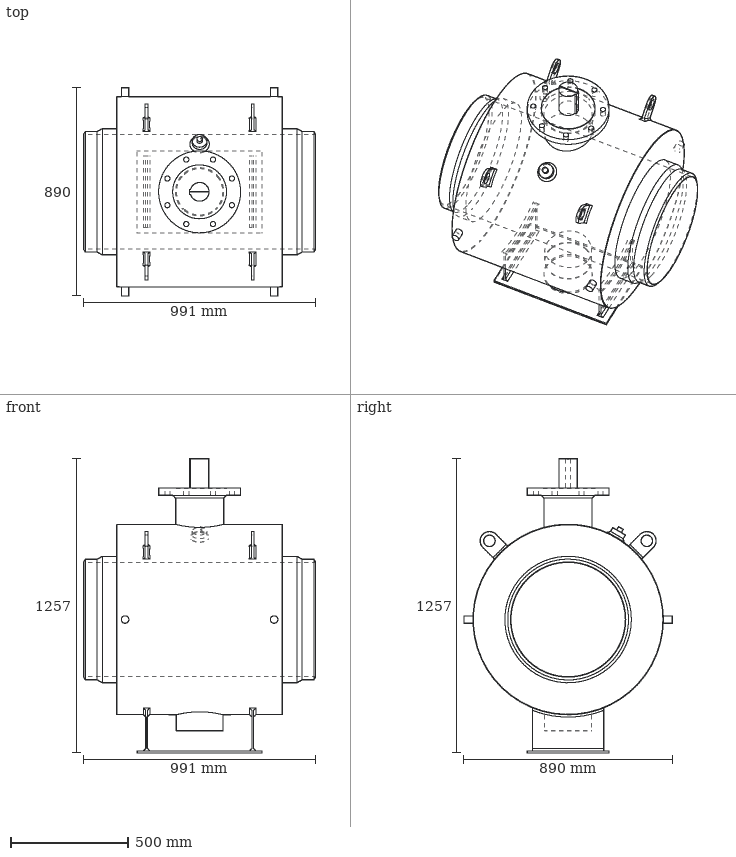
import cadquery as cq
import math

length = 991.0
bore_diameter = 488.0
pipe_diameter = 516.0
sleeve_diameter = 540.0
body_diameter = 813.0
body_length = 708.0
body_chamfer = 2.0
pipe_end_length = 58.0
sleeve_taper_length = 22.0
end_bevel_length = 8.0
end_bevel_depth = 12.0

top_height = 687.0
neck_diameter = 206.0
flange_diameter = 350.0
flange_thickness = 32.0
flange_top = 562.0
flange_weld = 12.0
recess_diameter = 230.0
recess_depth = 3.0
bolt_count = 8
bolt_circle = 298.0
bolt_hole_diameter = 22.0
stem_diameter = 80.0
stem_key_width = 22.0
stem_key_reach = 44.0
stem_mark_width = 2.0
stem_mark_depth = 2.0

trunnion_diameter = 200.0
trunnion_lip_diameter = 198.0
trunnion_lip_height = 3.0
trunnion_depth = 476.0

pin_diameter = 32.0
pin_spacing = 636.0
pin_span = 890.0

plate_spacing = 453.0
support_thickness = 8.0
support_width = 306.0
support_weld = 10.0
foot_length = 534.0
foot_width = 350.0
foot_thickness = 10.0
foot_bottom = -570.0
foot_hole_diameter = 206.0

lug_angle = 45.0
lug_thickness = 12.0
lug_width = 80.0
lug_hole_diameter = 48.0
lug_hole_radius = 475.0
lug_weld = 9.0

vent_angle = 30.0
vent_diameter = 63.0
vent_top = 435.0
vent_tip_diameter = 24.0
vent_tip_top = 451.0
vent_weld = 10.0

root_overlap = 4.0

body_radius = body_diameter / 2
half_length = length / 2
half_body = body_length / 2


def cylinder(diameter, bottom, top):
    """Cylinder on the Z axis between two heights."""
    return cq.Workplane("XY").workplane(offset=bottom).circle(diameter / 2).extrude(top - bottom)


def cone(bottom_diameter, top_diameter, bottom, top):
    """Cone frustum on the Z axis between two heights."""
    profile = [(0, bottom), (bottom_diameter / 2, bottom), (top_diameter / 2, top), (0, top)]
    return cq.Workplane("XZ").polyline(profile).close().revolve(360, (0, 0, 0), (0, 1, 0))


def make_shell():
    """Body, sleeves and bevelled pipe ends as one revolved solid, still without the bore."""
    pipe_radius = pipe_diameter / 2
    sleeve_radius = sleeve_diameter / 2
    taper_start = half_length - pipe_end_length
    right_half = [
        (half_body - body_chamfer, body_radius),
        (half_body, body_radius - body_chamfer),
        (half_body, sleeve_radius),
        (taper_start - sleeve_taper_length, sleeve_radius),
        (taper_start, pipe_radius),
        (half_length - end_bevel_length, pipe_radius),
        (half_length, pipe_radius - end_bevel_depth),
        (half_length, 0),
    ]
    left_half = [(-x, r) for x, r in reversed(right_half)]
    outline = cq.Workplane("XY").polyline(left_half + right_half).close()
    return outline.revolve(360, (0, 0, 0), (1, 0, 0))


def make_stem_column():
    """Neck, actuator flange and keyed stem."""
    flange_bottom = flange_top - flange_thickness
    neck = cylinder(neck_diameter, 0, flange_bottom)
    weld_top_diameter = neck_diameter + 2 * flange_weld
    weld = cone(neck_diameter, weld_top_diameter, flange_bottom - flange_weld, flange_bottom)
    flange = cylinder(flange_diameter, flange_bottom, flange_top)
    recess = cylinder(recess_diameter, flange_top - recess_depth, flange_top)
    bolt_holes = (
        cq.Workplane("XY")
        .workplane(offset=flange_bottom)
        .polarArray(bolt_circle / 2, 180 / bolt_count, 360, bolt_count)
        .circle(bolt_hole_diameter / 2)
        .extrude(flange_thickness)
    )
    stem_base = flange_top - flange_thickness / 2
    stem = cylinder(stem_diameter, stem_base, top_height)
    key = (
        cq.Workplane("XY")
        .box(stem_key_reach, stem_key_width, top_height - stem_base, centered=(True, True, False))
        .translate((-stem_key_reach / 2, 0, stem_base))
    )
    mark = (
        cq.Workplane("XY")
        .workplane(offset=top_height - stem_mark_depth)
        .rect(2 * stem_key_reach, stem_mark_width)
        .extrude(stem_mark_depth)
    )
    drilled = neck.union(weld).union(flange.cut(recess)).cut(bolt_holes)
    return drilled.union(stem.union(key).cut(mark))


def make_trunnion():
    """Lower stub with a slightly smaller lip at its end."""
    lip_start = -trunnion_depth + trunnion_lip_height
    stub = cylinder(trunnion_diameter, lip_start, 0)
    return stub.union(cylinder(trunnion_lip_diameter, -trunnion_depth, lip_start))


def make_pins():
    """Side pins, each running from one side of the shell to the other before boring."""
    return (
        cq.Workplane("XZ")
        .workplane(offset=-pin_span / 2)
        .pushPoints([(-pin_spacing / 2, 0), (pin_spacing / 2, 0)])
        .circle(pin_diameter / 2)
        .extrude(pin_span)
    )


def make_support(x):
    """Upright plate with weld fillets at the shell and at the foot plate."""
    foot_top = foot_bottom + foot_thickness
    half_thickness = support_thickness / 2
    weld_reach = half_thickness + support_weld
    plate = (
        cq.Workplane("XY")
        .box(support_thickness, support_width, -foot_top, centered=(True, True, False))
        .translate((x, 0, foot_top))
    )
    foot_weld = (
        cq.Workplane("XZ")
        .polyline([
            (x - weld_reach, foot_top),
            (x + weld_reach, foot_top),
            (x + half_thickness, foot_top + support_weld),
            (x - half_thickness, foot_top + support_weld),
        ])
        .close()
        .extrude(support_width / 2, both=True)
    )
    shell_weld = (
        cq.Workplane("XY")
        .polyline([
            (x - weld_reach, 0),
            (x - weld_reach, body_radius),
            (x - half_thickness, body_radius + support_weld),
            (x + half_thickness, body_radius + support_weld),
            (x + weld_reach, body_radius),
            (x + weld_reach, 0),
        ])
        .close()
        .revolve(360, (0, 0, 0), (1, 0, 0))
    )
    weld_zone = (
        cq.Workplane("XY")
        .box(2 * weld_reach, support_width, -foot_top, centered=(True, True, False))
        .translate((x, 0, foot_top))
    )
    return plate.union(foot_weld).union(shell_weld.intersect(weld_zone))


def make_foot():
    """Foot plate with a clearance hole under the trunnion."""
    return (
        cq.Workplane("XY")
        .workplane(offset=foot_bottom)
        .rect(foot_length, foot_width)
        .circle(foot_hole_diameter / 2)
        .extrude(foot_thickness)
    )


def make_lug(x, angle):
    """Lifting eye with side welds, tilted about the pipe axis away from vertical."""
    half_width = lug_width / 2
    half_thickness = lug_thickness / 2
    weld_base = math.sqrt(body_radius**2 - half_width**2)
    root = weld_base - root_overlap
    eye = (
        cq.Workplane("YZ")
        .moveTo(-half_width, root)
        .lineTo(-half_width, lug_hole_radius)
        .threePointArc((0, lug_hole_radius + half_width), (half_width, lug_hole_radius))
        .lineTo(half_width, root)
        .close()
        .extrude(half_thickness, both=True)
    )
    hole = (
        cq.Workplane("YZ")
        .center(0, lug_hole_radius)
        .circle(lug_hole_diameter / 2)
        .extrude(lug_thickness, both=True)
    )
    weld_reach = half_thickness + lug_weld
    weld = (
        cq.Workplane("XZ")
        .polyline([
            (-weld_reach, root),
            (-weld_reach, weld_base),
            (-half_thickness, weld_base + lug_weld),
            (half_thickness, weld_base + lug_weld),
            (weld_reach, weld_base),
            (weld_reach, root),
        ])
        .close()
        .extrude(half_width, both=True)
    )
    lug = eye.cut(hole).union(weld)
    return lug.rotate((0, 0, 0), (1, 0, 0), angle).translate((x, 0, 0))


def make_vent():
    """Vent plug with a conical weld at its foot, tilted towards +Y."""
    weld_diameter = vent_diameter + 2 * vent_weld
    root = math.sqrt(body_radius**2 - (weld_diameter / 2) ** 2) - root_overlap
    plug = cylinder(vent_diameter, root, vent_top)
    tip = cylinder(vent_tip_diameter, vent_top, vent_tip_top)
    weld_root = cylinder(weld_diameter, root, body_radius)
    weld = cone(weld_diameter, vent_diameter, body_radius, body_radius + vent_weld)
    vent = plug.union(tip).union(weld_root).union(weld)
    return vent.rotate((0, 0, 0), (1, 0, 0), -vent_angle)


result = make_shell().union(make_stem_column()).union(make_trunnion()).union(make_pins())
result = result.union(make_foot()).union(make_vent())
for plate_x in (-plate_spacing / 2, plate_spacing / 2):
    result = result.union(make_support(plate_x))
    for tilt in (-lug_angle, lug_angle):
        result = result.union(make_lug(plate_x, tilt))

bore = cq.Workplane("YZ").circle(bore_diameter / 2).extrude(half_length, both=True)
result = result.cut(bore)